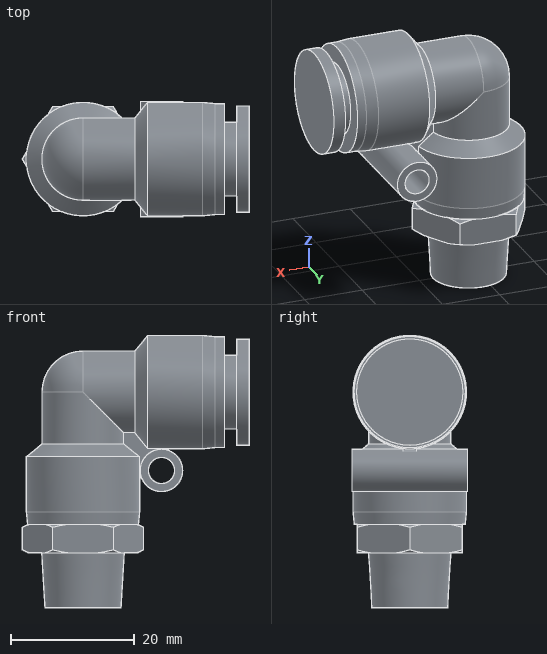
import cadquery as cq
import math

total_height = 44.1
body_diameter = 18.4
body_radius = body_diameter / 2
arm_axis_z = total_height - body_radius
elbow_radius = 6.65

rim_radius = 18.0 / 2
shoulder_start = 8.4
shoulder_end = 10.45
rim_taper_start = 19.35
rim_taper_end = 21.4
outlet_rim_end = 22.95

collar_neck_radius = 12.0 / 2
collar_radius = 17.2 / 2
collar_start = 24.87
collar_end = 26.9

nut_flats = 17.02
nut_corner_radius = nut_flats / math.sqrt(3)
nut_face_radius = 8.85
nut_chamfer_height = 0.5
nut_bottom = 8.9
nut_top = arm_axis_z - rim_taper_end
thread_top_radius = 6.7
thread_bottom_radius = 6.17

eye_x = 12.7
eye_z = 22.23
eye_diameter = 6.9
eye_hole_diameter = 4.2
eye_length = 18.7
web_thickness = 2.2


def make_leg():
    """Elbow leg and socket revolved about Z, starting at the elbow centre."""
    profile = [
        (0, 0),
        (elbow_radius, 0),
        (elbow_radius, shoulder_start),
        (body_radius, shoulder_end),
        (body_radius, rim_taper_start),
        (rim_radius, rim_taper_end),
        (0, rim_taper_end),
    ]
    return cq.Workplane("XZ").polyline(profile).close().revolve(360, (0, 0, 0), (0, 1, 0))


def leg_cylinder(radius, start, end):
    """Cylinder along Z between two distances from the elbow centre."""
    return cq.Workplane("XY").workplane(offset=start).circle(radius).extrude(end - start)


def make_outlet():
    """Horizontal leg with its rim and release collar."""
    outlet = make_leg()
    outlet = outlet.union(leg_cylinder(rim_radius, rim_taper_end, outlet_rim_end))
    outlet = outlet.union(leg_cylinder(collar_neck_radius, outlet_rim_end, collar_start))
    outlet = outlet.union(leg_cylinder(collar_radius, collar_start, collar_end))
    return outlet.rotate((0, 0, 0), (0, 1, 0), 90).translate((0, 0, arm_axis_z))


def make_stem():
    """Vertical leg, pointing down from the elbow centre."""
    return make_leg().rotate((0, 0, 0), (1, 0, 0), 180).translate((0, 0, arm_axis_z))


def make_nut():
    """Hexagon with corners on the X axis and both ends chamfered by a cone."""
    hexagon = (
        cq.Workplane("XY")
        .workplane(offset=nut_bottom)
        .polygon(6, 2 * nut_corner_radius)
        .extrude(nut_top - nut_bottom)
    )
    envelope_profile = [
        (0, nut_bottom),
        (nut_face_radius, nut_bottom),
        (nut_corner_radius, nut_bottom + nut_chamfer_height),
        (nut_corner_radius, nut_top - nut_chamfer_height),
        (nut_face_radius, nut_top),
        (0, nut_top),
    ]
    envelope = cq.Workplane("XZ").polyline(envelope_profile).close().revolve(360, (0, 0, 0), (0, 1, 0))
    return hexagon.intersect(envelope)


def make_thread():
    """Plain tapered spigot in place of the thread."""
    profile = [(0, 0), (thread_bottom_radius, 0), (thread_top_radius, nut_bottom), (0, nut_bottom)]
    return cq.Workplane("XZ").polyline(profile).close().revolve(360, (0, 0, 0), (0, 1, 0))


def make_eye():
    """Solid eye barrel centred on Y."""
    return (
        cq.Workplane("XZ", origin=(eye_x, 0, eye_z))
        .circle(eye_diameter / 2)
        .extrude(eye_length / 2, both=True)
    )


def make_web():
    """Plate from the elbow centre to the eye, between the two sockets."""
    eye_radius = eye_diameter / 2
    tangent_offset = eye_radius / math.sqrt(2)
    profile = [
        (0, arm_axis_z),
        (eye_x + tangent_offset, eye_z + tangent_offset),
        (eye_x - tangent_offset, eye_z - tangent_offset),
    ]
    return cq.Workplane("XZ").polyline(profile).close().extrude(web_thickness / 2, both=True)


dome = cq.Workplane("XY").sphere(elbow_radius).translate((0, 0, arm_axis_z))
eye_hole = (
    cq.Workplane("XZ", origin=(eye_x, 0, eye_z))
    .circle(eye_hole_diameter / 2)
    .extrude(eye_length / 2, both=True)
)

result = make_stem().union(make_outlet()).union(dome)
result = result.union(make_nut()).union(make_thread())
result = result.union(make_web()).union(make_eye()).cut(eye_hole)